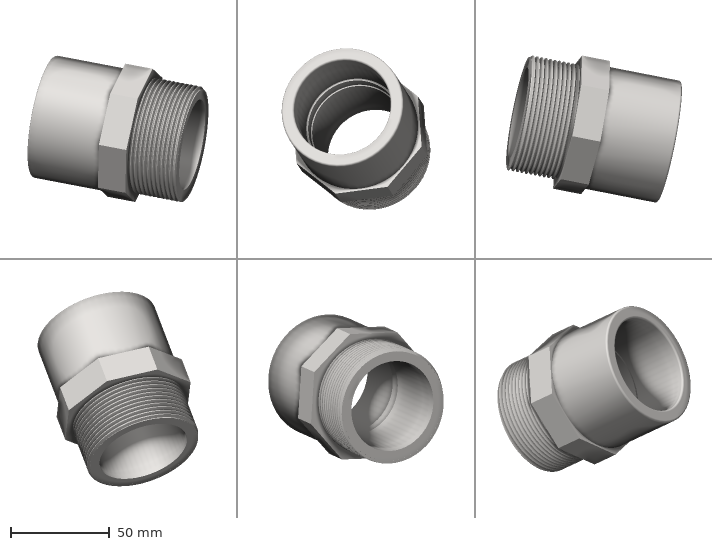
import cadquery as cq
import math

total_length = 78.0
collar_start = 38.0
collar_end = 52.5

socket_diameter = 63.0
socket_bore_diameter = 50.0
rim_fillet = 1.0

collar_sides = 8
collar_across_flats = 65.0
collar_tilt = 4.0

stop_depth = 31.0
stop_diameter = 48.0
through_diameter = 46.65
through_start = collar_start

thread_root_diameter = 56.6
thread_crest_diameter = 59.6
thread_turns = 11
crest_width = 0.3
flank_angle = 27.5
crest_offset = 0.5

thread_length = total_length - collar_end
thread_pitch = thread_length / thread_turns
thread_root_radius = thread_root_diameter / 2
thread_crest_radius = thread_crest_diameter / 2


def cylinder(diameter, start, end):
    """Solid cylinder along the X axis between two X positions."""
    return cq.Workplane("YZ", origin=(start, 0, 0)).circle(diameter / 2).extrude(end - start)


def make_collar():
    """Octagonal wrench collar, its flats tilted slightly about X."""
    corner_diameter = collar_across_flats / math.cos(math.pi / collar_sides)
    half_side_angle = 180 / collar_sides
    return (
        cq.Workplane("YZ", origin=(collar_start, 0, 0))
        .polygon(collar_sides, corner_diameter)
        .extrude(collar_end - collar_start)
        .rotate((0, 0, 0), (1, 0, 0), half_side_angle - collar_tilt)
    )


def make_fitting():
    """Hollow fitting with a pipe socket, collar and plain spigot core."""
    socket = cylinder(socket_diameter, 0, collar_start)
    spigot = cylinder(thread_root_diameter, collar_end, total_length)
    body = socket.union(make_collar()).union(spigot)
    body = body.cut(cylinder(socket_bore_diameter, 0, stop_depth))
    body = body.cut(cylinder(stop_diameter, stop_depth, through_start))
    body = body.cut(cylinder(through_diameter, through_start, total_length))
    return body.faces("<X").edges().fillet(rim_fillet)


def make_thread():
    """Right-handed helical ridge seated on the spigot, trimmed to the spigot ends."""
    blank_start = collar_end + crest_offset - thread_pitch
    blank_length = (thread_turns + 2) * thread_pitch
    half_crest = crest_width / 2
    ridge_height = thread_crest_radius - thread_root_radius
    half_root = half_crest + ridge_height * math.tan(math.radians(flank_angle))

    section = [
        (thread_root_radius, -half_root),
        (thread_crest_radius, -half_crest),
        (thread_crest_radius, half_crest),
        (thread_root_radius, half_root),
    ]
    helices = [
        cq.Wire.makeHelix(thread_pitch, blank_length, radius).translate(cq.Vector(0, 0, offset))
        for radius, offset in section
    ]
    faces = [
        cq.Face.makeRuledSurface(helix, helices[(i + 1) % len(helices)])
        for i, helix in enumerate(helices)
    ]
    for z in (0, blank_length):
        corners = [cq.Vector(radius, 0, z + offset) for radius, offset in section]
        faces.append(cq.Face.makeFromWires(cq.Wire.makePolygon(corners, close=True)))
    blank = cq.Solid.makeSolid(cq.Shell.makeShell(faces)).fix()

    blank = blank.rotate(cq.Vector(0, 0, 0), cq.Vector(1, 1, 1), 120)
    blank = blank.translate(cq.Vector(blank_start, 0, 0))
    envelope = cylinder(2 * thread_crest_diameter, collar_end, total_length)
    return cq.Workplane(obj=blank).intersect(envelope)


fitting = make_fitting()
thread = make_thread()

result = cq.Compound.makeCompound([fitting.val(), thread.solids().val()])